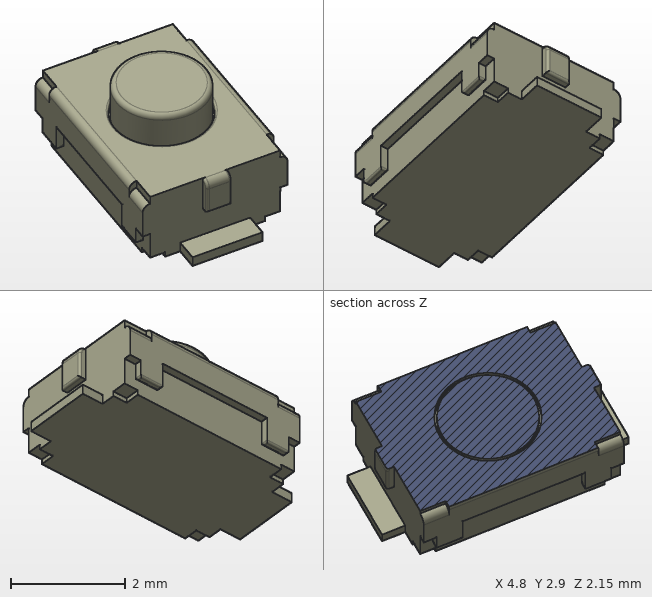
import cadquery as cq

overall_length = 4.8
overall_width = 2.9
overall_height = 2.15

block_length = 3.9
sheet = 0.15
block_width = overall_width - 2 * sheet
block_height = 1.5

notch_side = 0.3
notch_height = 0.1

wall_length = 2.91
wall_bottom = 0.825
leg_inner_x = 1.195
leg_outer_x = 1.7
leg_bottom = 0.3
leg_edge_radius = 0.04

ear_length = (block_length - wall_length) / 2
ear_top = 1.345
ear_bottom = 0.65

clip_width = 0.5
clip_bottom = 0.805
clip_edge_radius = 0.05

terminal_width = 1.4
terminal_thickness = 0.2

button_diameter = 1.8
button_edge_radius = 0.1
hole_diameter = 1.87
hole_edge_radius = 0.04


def box(x_min, x_max, y_min, y_max, z_min, z_max):
    """Box between two opposite corners."""
    size = (x_max - x_min, y_max - y_min, z_max - z_min)
    return cq.Workplane("XY").box(*size, centered=False).translate((x_min, y_min, z_min))


def make_block():
    """Block with notched lower corners."""
    block = cq.Workplane("XY").rect(block_length, block_width).extrude(block_height)
    notches = (
        cq.Workplane("XY")
        .rect(block_length, block_width, forConstruction=True)
        .vertices()
        .rect(2 * notch_side, 2 * notch_side)
        .extrude(notch_height)
    )
    return block.cut(notches)


def make_side_strip(x_min, x_max, z_min, z_max):
    """Strip from the middle of the block past its -Y face, with a rounded upper outer edge."""
    strip = box(x_min, x_max, -overall_width / 2, 0, z_min, z_max)
    return strip.edges("<Y and >Z").fillet(sheet)


def make_leg():
    """Leg below the +X end of the -Y cover wall, rounded around its free end."""
    leg = box(leg_inner_x, leg_outer_x, -overall_width / 2, -block_width / 2, leg_bottom, wall_bottom)
    return leg.faces("<Z").edges().fillet(leg_edge_radius)


def make_side():
    """Cover wall, legs and ears on the -Y side."""
    wall = make_side_strip(-wall_length / 2, wall_length / 2, wall_bottom, block_height)
    ear = make_side_strip(wall_length / 2, wall_length / 2 + ear_length, ear_bottom, ear_top)
    end = ear.union(make_leg())
    return wall.union(end).union(end.mirror("YZ"))


def make_clip():
    """Bent clip on the -X end, with rounded side and lower edges."""
    x_outer = -block_length / 2 - sheet
    clip = box(x_outer, 0, -clip_width / 2, clip_width / 2, clip_bottom, block_height)
    clip = clip.edges("<X and >Z").fillet(sheet)
    return clip.faces("<X").edges("not >Z").fillet(clip_edge_radius)


block = make_block()
side = make_side()
clip = make_clip()
terminals = cq.Workplane("XY").rect(overall_length, terminal_width).extrude(terminal_thickness)

body = block.union(terminals)
body = body.union(side).union(side.mirror("XZ"))
body = body.union(clip).union(clip.mirror("YZ"))

hole_floor = block_height - sheet
hole = cq.Workplane("XY", origin=(0, 0, hole_floor)).circle(hole_diameter / 2).extrude(sheet)
body = body.cut(hole)
body = body.faces(">Z").edges("%CIRCLE").fillet(hole_edge_radius)

button = (
    cq.Workplane("XY", origin=(0, 0, hole_floor))
    .circle(button_diameter / 2)
    .extrude(overall_height - hole_floor)
    .faces(">Z")
    .edges()
    .fillet(button_edge_radius)
)

result = body.union(button)